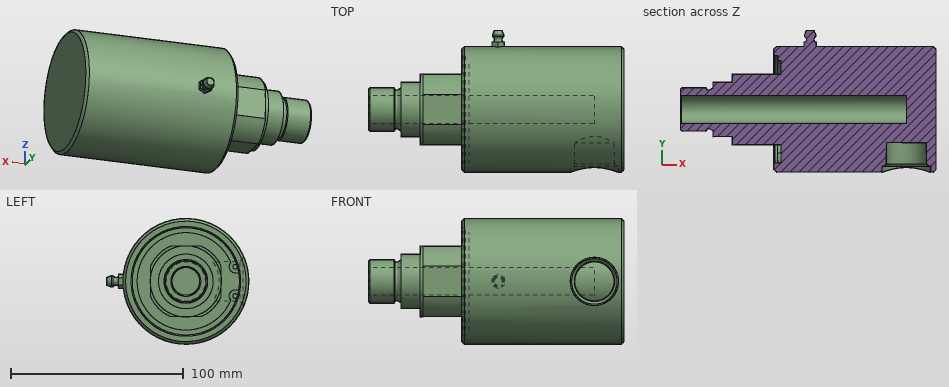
import cadquery as cq
import math


shaft_end_dia = 25.36
shaft_end_chamfer = 0.9
shaft_end_length = 14.9
undercut_dia = 22.63
undercut_entry = 0.4
undercut_arc_end = 17.7
undercut_arc_end_dia = 23.6
undercut_exit_dia = 25.0
pilot_start = 18.75
pilot_dia = 31.7
flange_start = 29.9
flange_width = 1.8
flange_dia = 41.3
wrench_dia = 44.5
wrench_flats = 40.9
bore_dia = 16.0
bore_chamfer = 0.7

total_length = 148.1
barrel_start = 54.0
barrel_dia = 73.0
barrel_chamfer = 1.6
recess_dia = 62.1
recess_chamfer = 0.75

ring_setback = 2.25
ring_thickness = 2.0
ring_inner_dia = 56.5
lug_radius = 3.5
lug_hole_dia = 2.79
lug_center_radius = 29.8
lug_angle = 16.5

port_x = 130.9
port_face_dia = 28.0
port_face_y = -33.0
port_chamfer_dia = 26.4
port_mouth_dia = 23.3
port_floor_dia = 22.63
core_dia = 38.6

nipple_x = 75.15
nipple_top = 45.88
nipple_embed = 1.0
nipple_hex_flats = 7.2
nipple_hex_top = 39.15
nipple_neck_base_dia = 5.8
nipple_neck_dia = 4.6
nipple_head_dia = 6.75
nipple_head_bottom = 41.9
nipple_head_bevel = 0.4
nipple_head_top = 43.1
nipple_tip_dia = 4.6

barrel_radius = barrel_dia / 2
flange_end = flange_start + flange_width
ring_start = barrel_start + ring_setback
recess_floor = ring_start + ring_thickness


def x_cylinder(diameter, x_start, x_end):
    """Cylinder on the X axis between two stations."""
    return cq.Workplane("YZ", origin=(x_start, 0, 0)).circle(diameter / 2).extrude(x_end - x_start)


def turned_about_x(profile):
    """Revolve a closed XY profile about the X axis."""
    return profile.close().revolve(360, (0, 0, 0), (1, 0, 0))


def turned_about_y(profile):
    """Revolve a closed profile about the Y axis of its workplane."""
    return profile.close().revolve(360, (0, 0, 0), (0, 1, 0))


def make_barrel():
    barrel = x_cylinder(barrel_dia, barrel_start, total_length).edges().chamfer(barrel_chamfer)
    recess = x_cylinder(recess_dia, barrel_start, recess_floor)
    mouth_radius = recess_dia / 2 + recess_chamfer
    mouth = turned_about_x(
        cq.Workplane("XY")
        .moveTo(barrel_start, 0)
        .lineTo(barrel_start, mouth_radius)
        .lineTo(barrel_start + recess_chamfer, recess_dia / 2)
        .lineTo(barrel_start + recess_chamfer, 0)
    )
    return barrel.cut(recess).cut(mouth)


def make_retaining_ring():
    """Internal retaining ring, open between two drilled lugs on the -Y side."""
    outer_disc = x_cylinder(recess_dia, ring_start, recess_floor)
    ring = outer_disc.cut(x_cylinder(ring_inner_dia, ring_start, recess_floor))

    half_angle = math.radians(lug_angle)
    lug_y = -lug_center_radius * math.cos(half_angle)
    lug_z = lug_center_radius * math.sin(half_angle)
    gap = cq.Workplane("XY").box(
        ring_thickness, barrel_radius, 2 * lug_z, centered=(False, False, True)
    )
    ring = ring.cut(gap.translate((ring_start, -barrel_radius, 0)))

    lug_points = [(lug_y, lug_z), (lug_y, -lug_z)]
    lug_plane = cq.Workplane("YZ", origin=(ring_start, 0, 0)).pushPoints(lug_points)
    lugs = lug_plane.circle(lug_radius).extrude(ring_thickness)
    tails = lug_plane.rect(2 * lug_radius, 2 * lug_radius).extrude(ring_thickness)
    tails = tails.translate((0, -lug_radius, 0))
    lugs = lugs.union(tails).intersect(outer_disc)
    holes = lug_plane.circle(lug_hole_dia / 2).extrude(ring_thickness)
    return ring.union(lugs).cut(holes)


def make_shaft():
    end_radius = shaft_end_dia / 2
    undercut_radius = undercut_dia / 2
    undercut_start = shaft_end_length + undercut_entry
    arc_middle = (undercut_start + undercut_arc_end) / 2
    shaft = turned_about_x(
        cq.Workplane("XY")
        .moveTo(0, 0)
        .lineTo(0, end_radius - shaft_end_chamfer)
        .lineTo(shaft_end_chamfer, end_radius)
        .lineTo(shaft_end_length, end_radius)
        .lineTo(undercut_start, undercut_arc_end_dia / 2)
        .threePointArc((arc_middle, undercut_radius), (undercut_arc_end, undercut_arc_end_dia / 2))
        .lineTo(pilot_start, undercut_exit_dia / 2)
        .lineTo(pilot_start, pilot_dia / 2)
        .lineTo(flange_start, pilot_dia / 2)
        .lineTo(flange_start, flange_dia / 2)
        .lineTo(flange_end, flange_dia / 2)
        .lineTo(flange_end, 0)
    )
    wrench_length = recess_floor - flange_end
    wrench = x_cylinder(wrench_dia, flange_end, recess_floor).intersect(
        cq.Workplane("YZ", origin=(flange_end, 0, 0)).rect(wrench_flats, wrench_flats).extrude(wrench_length)
    )
    return shaft.union(wrench)


def make_bore():
    """Blind shaft bore ending at the port axis, with a chamfered mouth."""
    radius = bore_dia / 2
    return turned_about_x(
        cq.Workplane("XY")
        .moveTo(0, 0)
        .lineTo(0, radius + bore_chamfer)
        .lineTo(bore_chamfer, radius)
        .lineTo(port_x, radius)
        .lineTo(port_x, 0)
    )


def make_port():
    """Spot-faced, chamfered side port whose floor is a round core on the X axis."""
    mouth_radius = port_mouth_dia / 2
    floor_radius = port_floor_dia / 2
    taper_start = port_face_y + port_chamfer_dia / 2 - mouth_radius
    taper_end = -math.sqrt((core_dia / 2) ** 2 - floor_radius**2)
    hole = turned_about_y(
        cq.Workplane("XY", origin=(port_x, 0, 0))
        .moveTo(0, -barrel_radius)
        .lineTo(port_face_dia / 2, -barrel_radius)
        .lineTo(port_face_dia / 2, port_face_y)
        .lineTo(port_chamfer_dia / 2, port_face_y)
        .lineTo(mouth_radius, taper_start)
        .lineTo(floor_radius, taper_end)
        .lineTo(0, taper_end)
    )
    core = x_cylinder(core_dia, port_x - port_face_dia / 2, port_x + port_face_dia / 2)
    return hole.cut(core)


def make_nipple():
    """Grease nipple: hexagon, waisted neck and tapered head."""
    seat = barrel_radius - nipple_embed
    hex_plane = cq.Plane(origin=(nipple_x, seat, 0), xDir=(0, 0, 1), normal=(0, 1, 0))
    hex_corners = nipple_hex_flats / math.cos(math.pi / 6)
    hexagon = cq.Workplane(hex_plane).polygon(6, hex_corners).extrude(nipple_hex_top - seat)
    neck_middle = (nipple_hex_top + nipple_head_bottom) / 2
    neck_base_radius = nipple_neck_base_dia / 2
    head = turned_about_y(
        cq.Workplane("XY", origin=(nipple_x, 0, 0))
        .moveTo(0, seat)
        .lineTo(neck_base_radius, seat)
        .lineTo(neck_base_radius, nipple_hex_top)
        .threePointArc((nipple_neck_dia / 2, neck_middle), (neck_base_radius, nipple_head_bottom))
        .lineTo(nipple_head_dia / 2, nipple_head_bottom + nipple_head_bevel)
        .lineTo(nipple_head_dia / 2, nipple_head_top)
        .lineTo(nipple_tip_dia / 2, nipple_top)
        .lineTo(0, nipple_top)
    )
    return hexagon.union(head)


body = make_barrel().union(make_retaining_ring()).union(make_shaft())
result = body.cut(make_bore()).cut(make_port()).union(make_nipple())